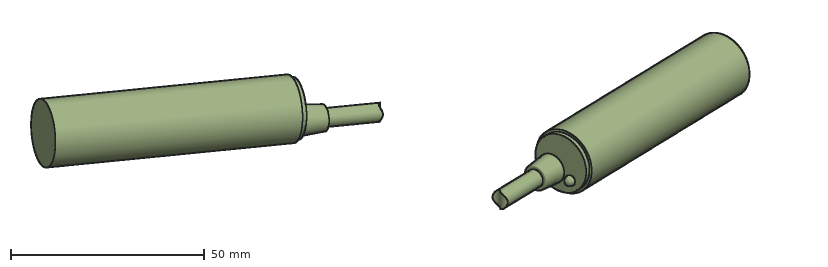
import cadquery as cq

total_length = 92.6
front_y = -total_length / 2
tip_y = total_length / 2

barrel_diameter = 18.0
barrel_length = 68.45
barrel_end_y = front_y + barrel_length

cap_diameter = 16.5
cap_thickness = 1.4
cap_face_y = barrel_end_y + cap_thickness

cable_x = 3.1
cable_z = -2.4
relief_base_diameter = 8.3
relief_end_diameter = 7.1
relief_length = 6.95
relief_edge_radius = 0.4
relief_end_y = cap_face_y + relief_length

cable_diameter = 5.0
cable_radius = cable_diameter / 2
break_depth = 1.2

lamp_x = -3.15
lamp_z = -4.0
lamp_diameter = 3.0
lamp_radius = lamp_diameter / 2
lamp_height = 1.8


def rod(diameter, start_y, length, x=0, z=0):
    """Round rod running in +Y from start_y."""
    start = cq.Workplane("XZ", origin=(x, start_y, z))
    return start.circle(diameter / 2).extrude(-length)


def make_strain_relief():
    """Cone narrowing away from the cap, with a rounded outer edge."""
    cone = (
        cq.Workplane("XZ", origin=(cable_x, cap_face_y, cable_z))
        .circle(relief_base_diameter / 2)
        .workplane(offset=-relief_length)
        .circle(relief_end_diameter / 2)
        .loft(ruled=True)
    )
    return cone.faces(">Y").edges().fillet(relief_edge_radius)


def make_cable():
    """Cable whose free end has a crest on the -X half and a hollow on the +X half."""
    left_x = cable_x - cable_radius
    right_x = cable_x + cable_radius
    middle_y = tip_y - break_depth / 2
    break_outline = (
        cq.Workplane("XY", origin=(0, 0, cable_z))
        .moveTo(left_x, relief_end_y)
        .lineTo(left_x, middle_y)
        .threePointArc((cable_x - cable_radius / 2, tip_y), (cable_x, middle_y))
        .threePointArc((cable_x + cable_radius / 2, tip_y - break_depth), (right_x, middle_y))
        .lineTo(right_x, relief_end_y)
        .close()
        .extrude(cable_radius, both=True)
    )
    full_cable = rod(cable_diameter, relief_end_y, tip_y - relief_end_y, cable_x, cable_z)
    return full_cable.intersect(break_outline)


def make_lamp():
    """Short round base topped by a half-sphere."""
    base_height = lamp_height - lamp_radius
    dome_y = cap_face_y + base_height
    base = rod(lamp_diameter, cap_face_y, base_height, lamp_x, lamp_z)
    dome = (
        cq.Workplane("XY", origin=(lamp_x, dome_y, lamp_z))
        .lineTo(lamp_radius, 0)
        .threePointArc((lamp_radius / 2**0.5, lamp_radius / 2**0.5), (0, lamp_radius))
        .close()
        .revolve(360, (0, 0, 0), (0, 1, 0))
    )
    return base.union(dome)


def make_barrel():
    """Plain round sensor barrel."""
    return rod(barrel_diameter, front_y, barrel_length)


def make_end_cap():
    """Cap disc seated on the barrel, carrying the strain relief, cable and lamp."""
    disc = rod(cap_diameter, barrel_end_y, cap_thickness)
    return disc.union(make_strain_relief()).union(make_cable()).union(make_lamp())


barrel = make_barrel()
end_cap = make_end_cap()
result = cq.Compound.makeCompound([barrel.val(), *end_cap.solids().vals()])